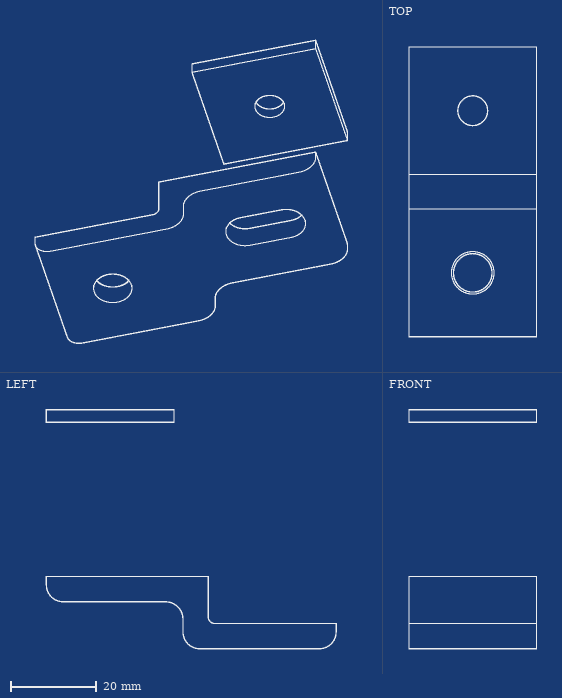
import cadquery as cq

width = 30.0
length = 68.0
thickness = 6.0
step_drop = 11.0
upper_leg_length = 38.0
outer_radius = 4.0
inner_radius = 1.5

slot_width = 9.0
slot_travel = 10.0
slot_setback = 16.0
round_hole_diameter = 9.0
round_hole_chamfer = 0.5

plate_side = width
plate_thickness = 3.0
plate_hole_diameter = 6.95
overall_height = 56.1

lower_top = thickness
upper_bottom = step_drop
upper_top = upper_bottom + thickness
web_front = length - upper_leg_length
web_back = web_front + thickness
round_hole_y = web_front / 2
slot_y = length - slot_setback
plate_y = length - plate_side / 2
plate_bottom = overall_height - plate_thickness


def make_bracket_body():
    """Z-shaped profile in the YZ plane, extruded across the width and rounded."""
    profile = [
        (0, 0),
        (web_back, 0),
        (web_back, upper_bottom),
        (length, upper_bottom),
        (length, upper_top),
        (web_front, upper_top),
        (web_front, lower_top),
        (0, lower_top),
    ]
    body = cq.Workplane("YZ").polyline(profile).close().extrude(width / 2, both=True)

    for y, z in profile[:4]:
        corner = cq.NearestToPointSelector((0, y, z))
        body = body.edges("|X").edges(corner).fillet(outer_radius)

    inner_corner = cq.NearestToPointSelector((0, web_front, lower_top))
    return body.edges("|X").edges(inner_corner).fillet(inner_radius)


def make_slot_cutter():
    """Slot through the upper leg, running along Y."""
    return (
        cq.Workplane("XY", origin=(0, slot_y, upper_bottom))
        .slot2D(slot_travel + slot_width, slot_width, 90)
        .extrude(thickness)
    )


def make_round_hole_cutter():
    """Hole through the lower leg with a chamfered mouth on top."""
    mouth_diameter = round_hole_diameter + 2 * round_hole_chamfer
    bore = (
        cq.Workplane("XY", origin=(0, round_hole_y, 0))
        .circle(round_hole_diameter / 2)
        .extrude(thickness)
    )
    mouth = (
        cq.Workplane("XY", origin=(0, round_hole_y, lower_top))
        .circle(mouth_diameter / 2)
        .workplane(offset=-round_hole_chamfer)
        .circle(round_hole_diameter / 2)
        .loft()
    )
    return bore.union(mouth)


def make_plate():
    """Square plate with a central through hole, flush with the upper leg's free end."""
    return (
        cq.Workplane("XY", origin=(0, plate_y, plate_bottom))
        .rect(plate_side, plate_side)
        .circle(plate_hole_diameter / 2)
        .extrude(plate_thickness)
    )


bracket = make_bracket_body().cut(make_slot_cutter()).cut(make_round_hole_cutter())
plate = make_plate()

result = cq.Compound.makeCompound([bracket.solids().val(), plate.val()])